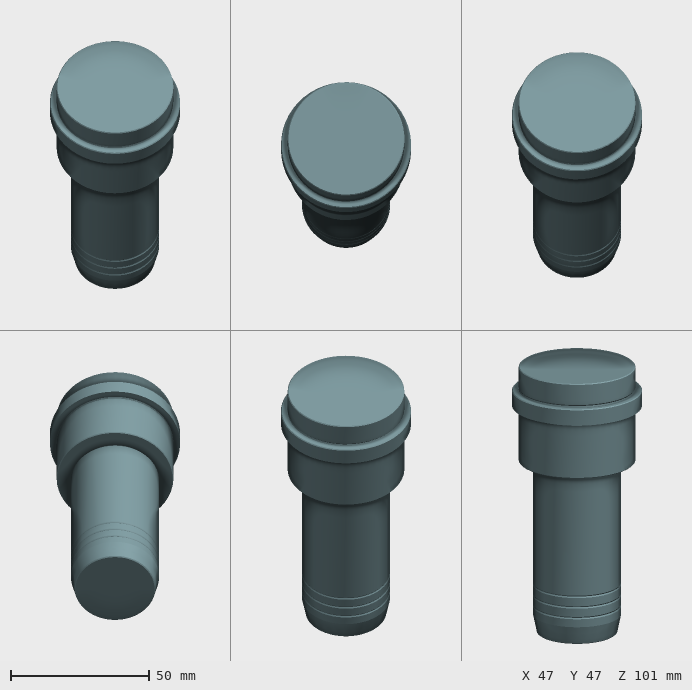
import cadquery as cq

total_height = 101.0
flange_radius = 23.5
head_radius = 21.1
shank_radius = 16.0
tip_radius = 14.5

taper_top = 6.9
shank_top = 65.0
flange_bottom = 86.1
flange_top = 92.1

edge_chamfer = 0.3
neck_height = 1.2
neck_depth = 0.7

relief_width = 0.9
relief_depth = 0.4

ring_groove_count = 3
ring_groove_pitch = 4.0
ring_groove_width = 0.9
ring_groove_depth = 0.3
lowest_ring_groove = 9.9


def revolved(points):
    """Solid of revolution about Z from (radius, height) points."""
    return cq.Workplane("XZ").polyline(points).close().revolve(360, (0, 0, 0), (0, 1, 0))


def disc(radius, bottom, top):
    """Upright cylinder on the Z axis between two heights."""
    return cq.Workplane("XY").workplane(offset=bottom).circle(radius).extrude(top - bottom)


def v_groove(surface_radius, depth, bottom, width):
    """Ring that cuts a symmetric V into a cylinder of the given radius."""
    return revolved([
        (surface_radius, bottom),
        (surface_radius - depth, bottom + width / 2),
        (surface_radius, bottom + width),
    ])


shank = revolved([
    (0, 0),
    (tip_radius, 0),
    (shank_radius, taper_top),
    (shank_radius, shank_top - neck_height),
    (shank_radius - neck_depth, shank_top),
    (0, shank_top),
])
shank = shank.faces("<Z").edges().chamfer(edge_chamfer)
for index in range(ring_groove_count):
    groove_bottom = lowest_ring_groove + index * ring_groove_pitch
    shank = shank.cut(v_groove(shank_radius, ring_groove_depth, groove_bottom, ring_groove_width))

head = disc(head_radius, shank_top, total_height).edges("%CIRCLE").chamfer(edge_chamfer)
for groove_bottom in (flange_bottom - relief_width, flange_top):
    head = head.cut(v_groove(head_radius, relief_depth, groove_bottom, relief_width))

flange = disc(flange_radius, flange_bottom, flange_top).faces(">Z").edges().chamfer(edge_chamfer)

result = shank.union(head).union(flange)